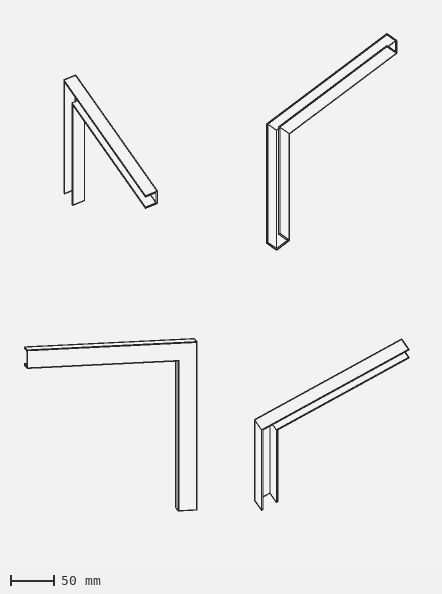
import cadquery as cq

leg_length = 200.0
depth = 16.0
width = 22.0
wall = 2.0
web = 2.0
back_chamfer = 0.8
root_bevel = 0.2


def channel_section():
    """Closed U section: X runs inwards from the outer face, Y from the open side."""
    floor = depth - web
    inner_wall = width - wall
    outline = [
        (0, 0),
        (wall, 0),
        (wall, floor - root_bevel),
        (wall + root_bevel, floor),
        (inner_wall - root_bevel, floor),
        (inner_wall, floor - root_bevel),
        (inner_wall, 0),
        (width, 0),
        (width, depth - back_chamfer),
        (width - back_chamfer, depth),
        (back_chamfer, depth),
        (0, depth - back_chamfer),
    ]
    return cq.Workplane("XY").polyline(outline).close()


corner_path = (
    cq.Workplane("XZ")
    .lineTo(0, leg_length)
    .lineTo(leg_length, leg_length)
)

result = channel_section().sweep(corner_path, transition="right")